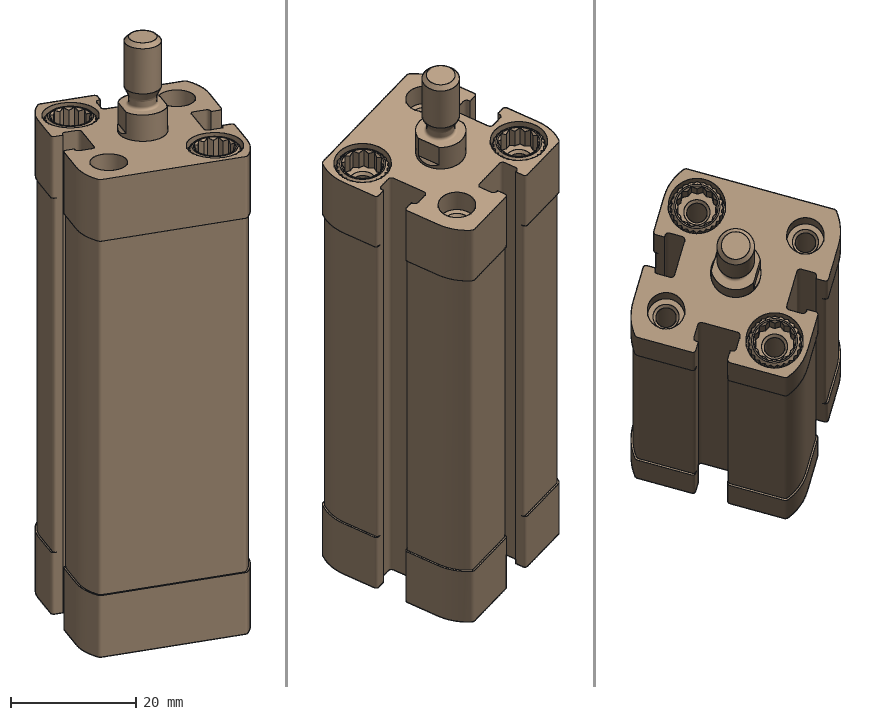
import cadquery as cq
import math

TOTAL_HEIGHT = 101.7
WIDTH = 29.0
HOUSING_HEIGHT = 85.0

CAP_HEIGHT = 11.0
TUBE_INSET = 0.3
CORNER_RADIUS = 8.5
EDGE_FILLET = 0.7

SLOT_OPENING = 5.3
SLOT_INNER_WIDTH = 7.0
SLOT_LIP = 1.9
SLOT_DEPTH = 5.2
SLOT_LIP_FILLET = 0.5
SLOT_CORNER_FILLET = 0.6
SLOT_ANGLES = (0, -90, 180)

HOLE_SPACING = 18.0
HOLE_OFFSET = HOLE_SPACING / 2
CORE_DIAMETER = 3.3
CORE_MOUTH_DIAMETER = 4.2
COUNTERBORE_DIAMETER = 6.0
COUNTERBORE_DEPTH = 3.8

POCKET_DIAMETER = 9.2
SLEEVE_DIAMETER = 8.5
SLEEVE_RECESS = 0.2
SLEEVE_OUTER_CHAMFER = 0.6
SLEEVE_INNER_CHAMFER = 0.4
INNER_TOOTH_COUNT = 12
OUTER_TOOTH_COUNT = 24
INNER_TOOTH_DEPTH = 0.4
OUTER_TOOTH_DEPTH = 0.3

COLLAR_DIAMETER = 8.0
COLLAR_TOP = 89.7
FLAT_DISTANCE = 7.0
FLAT_BOTTOM = 85.9
NECK_DIAMETER = 4.5
NECK_FILLET = 0.5
THREAD_DIAMETER = 6.0
THREAD_BOTTOM = 93.0
THREAD_CHAMFER = 0.7
ROD_BOTTOM = HOUSING_HEIGHT - CAP_HEIGHT
RUNOUT_ANGLE = 25
RUNOUT_FILLET = 0.8


def arc_point(center, radius, angle):
    """Point on a circle at `angle` from +Y toward +X."""
    return (center[0] + radius * math.sin(angle), center[1] + radius * math.cos(angle))


def outline(bottom, height, inset):
    """Prism with flat faces and large arcs at the corners, moved in by `inset` all around."""
    half = WIDTH / 2 - inset
    radius = CORNER_RADIUS - inset
    center = (HOLE_OFFSET, WIDTH / 2 - CORNER_RADIUS)
    sweep = math.asin((half - center[0]) / radius)
    mid_x, mid_y = arc_point(center, radius, sweep / 2)
    end_x, end_y = arc_point(center, radius, sweep)
    return (
        cq.Workplane("XY").workplane(offset=bottom)
        .moveTo(-center[0], half)
        .lineTo(center[0], half)
        .threePointArc((mid_x, mid_y), (end_x, end_y))
        .lineTo(end_x, -end_y)
        .threePointArc((mid_x, -mid_y), (center[0], -half))
        .lineTo(-center[0], -half)
        .threePointArc((-mid_x, -mid_y), (-end_x, -end_y))
        .lineTo(-end_x, end_y)
        .threePointArc((-mid_x, mid_y), (-center[0], half))
        .close()
        .extrude(height)
        .edges("|Z and (<X or >X)").fillet(EDGE_FILLET)
    )


def slot_cutter(face):
    """T-slot open toward -Y at y = -face, with rounded mouth edges."""
    mouth = SLOT_OPENING / 2
    inner_y = -WIDTH / 2 + SLOT_DEPTH
    lip_y = -WIDTH / 2 + SLOT_LIP
    chamber = (
        cq.Workplane("XY")
        .center(0, (inner_y + lip_y) / 2)
        .rect(SLOT_INNER_WIDTH, inner_y - lip_y)
        .extrude(HOUSING_HEIGHT)
        .edges("|Z").fillet(SLOT_CORNER_FILLET)
    )
    bend = SLOT_LIP_FILLET * (1 - math.sqrt(0.5))
    opening = (
        cq.Workplane("XY")
        .moveTo(-mouth - SLOT_LIP_FILLET, -face)
        .threePointArc((-mouth - bend, -face + bend), (-mouth, -face + SLOT_LIP_FILLET))
        .lineTo(-mouth, inner_y)
        .lineTo(mouth, inner_y)
        .lineTo(mouth, -face + SLOT_LIP_FILLET)
        .threePointArc((mouth + bend, -face + bend), (mouth + SLOT_LIP_FILLET, -face))
        .close()
        .extrude(HOUSING_HEIGHT)
    )
    return chamber.union(opening)


def housing_section(bottom, height, inset):
    """Slotted length of the housing."""
    section = outline(bottom, height, inset)
    cutter = slot_cutter(WIDTH / 2 - inset)
    for angle in SLOT_ANGLES:
        section = section.cut(cutter.rotate((0, 0, 0), (0, 0, 1), angle))
    return section


def hole_cutter(bore_diameter):
    """Stepped hole on the Z axis: core through the housing, chamfered mouth, wide bore at the top."""
    floor = HOUSING_HEIGHT - COUNTERBORE_DEPTH
    core = CORE_DIAMETER / 2
    mouth = CORE_MOUTH_DIAMETER / 2
    bore = bore_diameter / 2
    return (
        cq.Workplane("XZ")
        .moveTo(0, 0)
        .lineTo(core, 0)
        .lineTo(core, floor - (mouth - core))
        .lineTo(mouth, floor)
        .lineTo(bore, floor)
        .lineTo(bore, HOUSING_HEIGHT)
        .lineTo(0, HOUSING_HEIGHT)
        .close()
        .revolve(360, (0, 0, 0), (0, 1, 0))
    )


def star(tooth_count, inner_radius, outer_radius, height):
    """Prism with pointed teeth."""
    step = math.pi / tooth_count
    points = []
    for i in range(2 * tooth_count):
        radius = outer_radius if i % 2 == 0 else inner_radius
        points.append((radius * math.cos(i * step), radius * math.sin(i * step)))
    return cq.Workplane("XY").polyline(points).close().extrude(height)


def toothed_sleeve():
    """Ring on the Z axis with a bevelled crest and teeth inside and outside."""
    height = COUNTERBORE_DEPTH - SLEEVE_RECESS
    outer = SLEEVE_DIAMETER / 2
    inner = COUNTERBORE_DIAMETER / 2
    ring = (
        cq.Workplane("XZ")
        .moveTo(inner, 0)
        .lineTo(outer, 0)
        .lineTo(outer, height - SLEEVE_OUTER_CHAMFER)
        .lineTo(outer - SLEEVE_OUTER_CHAMFER, height)
        .lineTo(inner + SLEEVE_INNER_CHAMFER, height)
        .lineTo(inner, height - SLEEVE_INNER_CHAMFER)
        .close()
        .revolve(360, (0, 0, 0), (0, 1, 0))
    )
    ring = ring.cut(star(INNER_TOOTH_COUNT, inner, inner + INNER_TOOTH_DEPTH, height))
    ring = ring.intersect(star(OUTER_TOOTH_COUNT, outer - OUTER_TOOTH_DEPTH, outer, height))
    return ring.translate((0, 0, HOUSING_HEIGHT - COUNTERBORE_DEPTH))


def make_housing():
    """Two end caps and a slimmer tube, with corner holes and a blind bore for the rod."""
    tube_height = HOUSING_HEIGHT - 2 * CAP_HEIGHT
    housing = (
        housing_section(0, CAP_HEIGHT, 0)
        .union(housing_section(CAP_HEIGHT, tube_height, TUBE_INSET))
        .union(housing_section(HOUSING_HEIGHT - CAP_HEIGHT, CAP_HEIGHT, 0))
    )
    for side in (-1, 1):
        plain_place = (side * HOLE_OFFSET, -side * HOLE_OFFSET, 0)
        housing = housing.cut(hole_cutter(COUNTERBORE_DIAMETER).translate(plain_place))
        sleeve_place = (side * HOLE_OFFSET, side * HOLE_OFFSET, 0)
        housing = housing.cut(hole_cutter(POCKET_DIAMETER).translate(sleeve_place))
        housing = housing.union(toothed_sleeve().translate(sleeve_place))
    rod_bore = (
        cq.Workplane("XY").workplane(offset=ROD_BOTTOM)
        .circle(COLLAR_DIAMETER / 2)
        .extrude(HOUSING_HEIGHT - ROD_BOTTOM)
    )
    return housing.cut(rod_bore)


def make_rod():
    """Turned rod with collar, neck and thread, and two wrench flats on the collar."""
    collar = COLLAR_DIAMETER / 2
    neck = NECK_DIAMETER / 2
    thread = THREAD_DIAMETER / 2
    neck_top = THREAD_BOTTOM - (thread - neck) / math.tan(math.radians(RUNOUT_ANGLE))
    bend = NECK_FILLET * (1 - math.sqrt(0.5))
    rod = (
        cq.Workplane("XZ")
        .moveTo(0, ROD_BOTTOM)
        .lineTo(collar, ROD_BOTTOM)
        .lineTo(collar, COLLAR_TOP)
        .lineTo(neck + NECK_FILLET, COLLAR_TOP)
        .threePointArc((neck + bend, COLLAR_TOP + bend), (neck, COLLAR_TOP + NECK_FILLET))
        .lineTo(neck, neck_top)
        .lineTo(thread, THREAD_BOTTOM)
        .lineTo(thread, TOTAL_HEIGHT - THREAD_CHAMFER)
        .lineTo(thread - THREAD_CHAMFER, TOTAL_HEIGHT)
        .lineTo(0, TOTAL_HEIGHT)
        .close()
        .revolve(360, (0, 0, 0), (0, 1, 0))
        .edges(cq.NearestToPointSelector((0, 0, neck_top))).fillet(RUNOUT_FILLET)
    )
    return rod.cut(flat_cutter()).cut(flat_cutter().mirror("XZ"))


def flat_cutter():
    """Block that mills the -Y wrench flat and runs out at 45 degrees below it."""
    flat = FLAT_DISTANCE / 2
    collar = COLLAR_DIAMETER / 2
    return (
        cq.Workplane("YZ")
        .moveTo(-flat, COLLAR_TOP)
        .lineTo(-flat, FLAT_BOTTOM)
        .lineTo(-collar, FLAT_BOTTOM - (collar - flat))
        .lineTo(-collar, COLLAR_TOP)
        .close()
        .extrude(collar, both=True)
    )


housing = make_housing()
rod = make_rod()
result = cq.Compound.makeCompound([housing.val(), rod.val()])